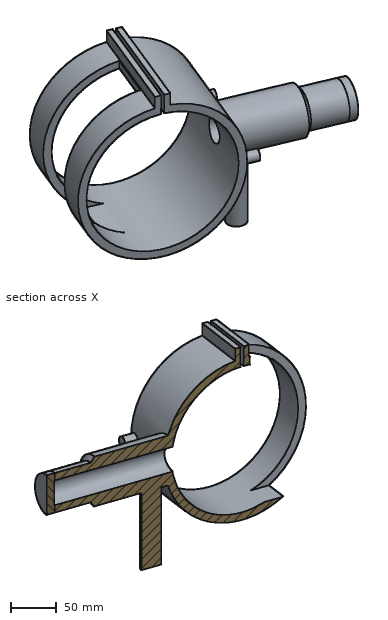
import cadquery as cq

ring_width = 138.0
ring_outer_radius = 100.0
wall = 10.0
ring_inner_radius = ring_outer_radius - wall

flange_top = 114.8
flange_outer_y = 9.0
split_gap = 4.0

window_width = 60.2
window_floor_z = -85.0
window_back_y = -10.0

overall_length = 350.0
spigot_end_y = overall_length - ring_outer_radius
shoulder_radius = 31.0
shoulder_end_y = 189.0
taper_length = 5.0
neck_radius = 25.0
bore_radius = 15.0
cap_thickness = 10.0
cap_start_y = spigot_end_y - cap_thickness

handle_radius = 12.5
handle_y = 116.0
handle_bottom_z = -126.7

peg_radius = 7.0
peg_x = 61.5
peg_end_y = 116.0


def cylinder_along_y(radius, start_y, end_y, x=0):
    """Solid cylinder parallel to Y between two Y positions."""
    start = cq.Vector(x, start_y, 0)
    return cq.Workplane(cq.Solid.makeCylinder(radius, end_y - start_y, start, cq.Vector(0, 1, 0)))


def cylinder_along_x(radius):
    """Solid cylinder across the ring width, centred on the origin."""
    return cq.Workplane("YZ", origin=(-ring_width / 2, 0, 0)).circle(radius).extrude(ring_width)


def make_spigot():
    """Shoulder, short taper and neck, starting inside the ring."""
    return (
        cq.Workplane("XY")
        .moveTo(0, 0)
        .lineTo(shoulder_radius, 0)
        .lineTo(shoulder_radius, shoulder_end_y)
        .lineTo(neck_radius, shoulder_end_y + taper_length)
        .lineTo(neck_radius, cap_start_y)
        .lineTo(0, cap_start_y)
        .close()
        .revolve(360, (0, 0, 0), (0, 1, 0))
    )


def make_handle():
    """Round bar running down from the spigot axis."""
    return cq.Workplane("XY").center(0, handle_y).circle(handle_radius).extrude(handle_bottom_z)


def make_window():
    """Cutter with a flat floor and a back face just in front of the flange."""
    return cq.Workplane("XY").box(
        window_width, ring_outer_radius, flange_top - window_floor_z, centered=(True, False, False)
    ).translate((0, window_back_y - ring_outer_radius, window_floor_z))


def make_clamp():
    """Split ring with its flanges, spigot, handle and pegs."""
    flanges = cq.Workplane("XY").box(
        ring_width, 2 * flange_outer_y, flange_top, centered=(True, True, False)
    )
    split = cq.Workplane("XY").box(ring_width, split_gap, flange_top, centered=(True, True, False))
    clamp = cylinder_along_x(ring_outer_radius).union(flanges).union(make_spigot()).union(make_handle())
    for x in (-peg_x, peg_x):
        clamp = clamp.union(cylinder_along_y(peg_radius, 0, peg_end_y, x))
    clamp = clamp.cut(cylinder_along_x(ring_inner_radius)).cut(split).cut(make_window())
    return clamp.cut(cylinder_along_y(bore_radius, 0, cap_start_y))


def make_end_cap():
    """Disc closing the end of the bored spigot."""
    return cylinder_along_y(neck_radius, cap_start_y, spigot_end_y)


clamp = make_clamp()
end_cap = make_end_cap()

result = cq.Compound.makeCompound([clamp.solids().val(), end_cap.val()])